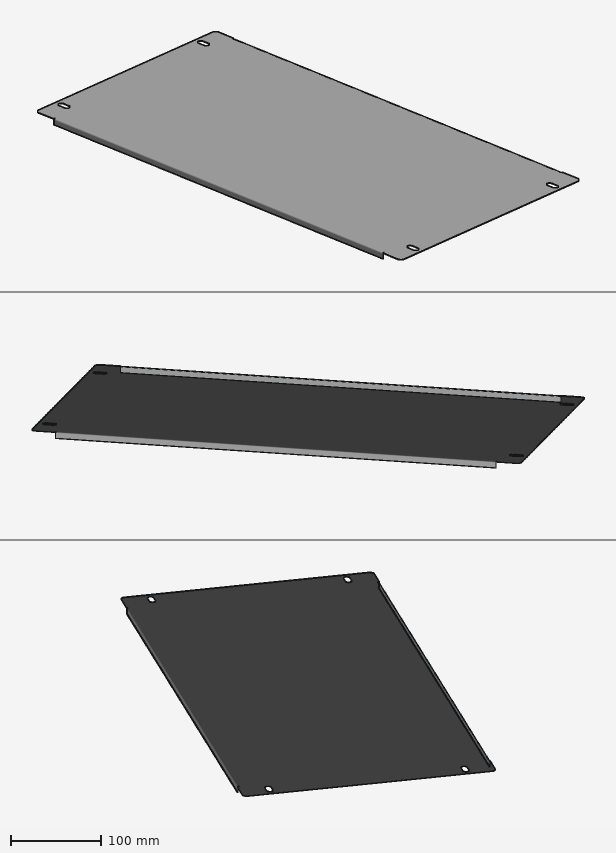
import cadquery as cq

panel_length = 560.0
panel_width = 289.0
sheet_thickness = 1.0
corner_radius = 5.0

flange_height = 8.0
flange_end_inset = 28.0
bend_inner_radius = 1.0
bend_outer_radius = bend_inner_radius + sheet_thickness
flange_length = panel_length - 2 * flange_end_inset

slot_length = 15.5
slot_width = 7.0
slot_edge_distance = 13.0
slot_pitch_y = 224.0
slot_pitch_x = panel_length - 2 * slot_edge_distance


def make_panel():
    """Flat sheet with rounded corners."""
    return (
        cq.Workplane("XY")
        .box(panel_length, panel_width, sheet_thickness, centered=(True, True, False))
        .translate((0, 0, -sheet_thickness))
        .edges("|Z")
        .fillet(corner_radius)
    )


def make_folded_section():
    """Channel between the end tabs: a web with two flanges and rounded bends."""
    channel = (
        cq.Workplane("XY")
        .box(flange_length, panel_width, flange_height, centered=(True, True, False))
        .translate((0, 0, -flange_height))
        .edges("|X and >Z")
        .fillet(bend_outer_radius)
    )
    cavity = (
        cq.Workplane("XY")
        .box(
            flange_length,
            panel_width - 2 * sheet_thickness,
            flange_height - sheet_thickness,
            centered=(True, True, False),
        )
        .translate((0, 0, -flange_height))
        .edges("|X and >Z")
        .fillet(bend_inner_radius)
    )
    return channel.cut(cavity)


def make_folding_zone():
    """Block holding the middle of the sheet, which the folded section replaces."""
    return cq.Workplane("XY").box(flange_length, panel_width, 2 * flange_height)


def make_slots():
    """Cutters for the four mounting slots, long axis along X."""
    return (
        cq.Workplane("XY")
        .rarray(slot_pitch_x, slot_pitch_y, 2, 2)
        .slot2D(slot_length, slot_width)
        .extrude(-sheet_thickness)
    )


end_tabs = make_panel().cut(make_folding_zone())
result = end_tabs.union(make_folded_section()).cut(make_slots())